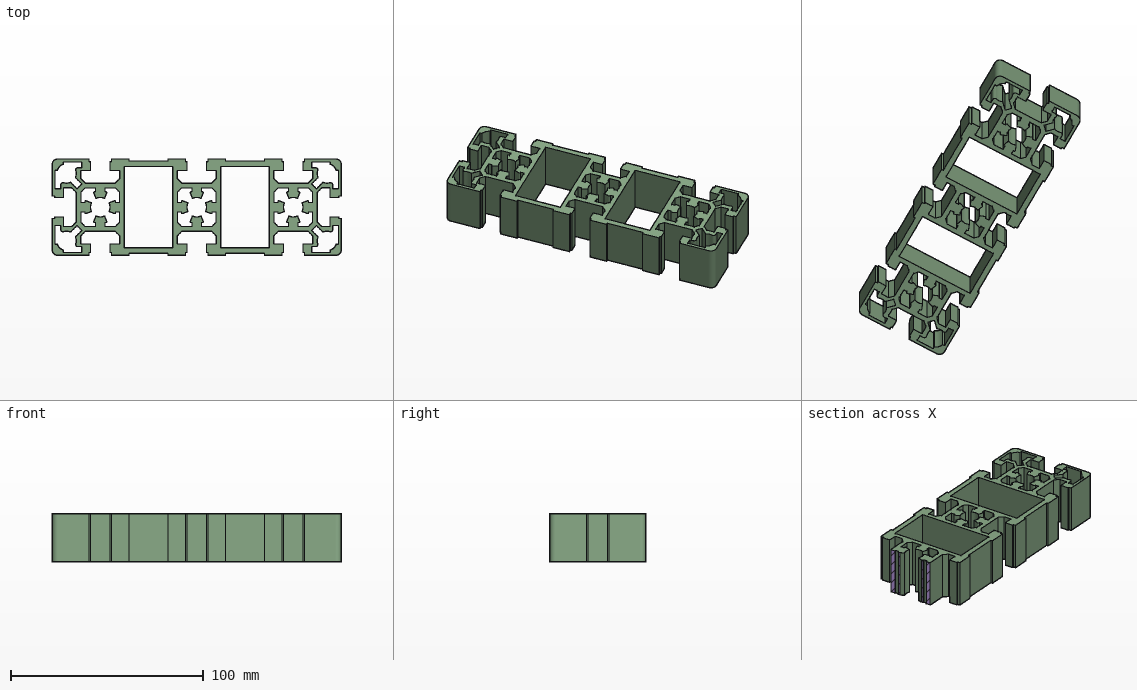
import cadquery as cq
import math

LENGTH_X = 150.0
WIDTH_Y = 50.0
HEIGHT_Z = 25.0

PITCH = 50.0
HALF = WIDTH_Y / 2
CORE_CENTRES = (-PITCH, 0.0, PITCH)
CHAMBER_CENTRES = (-PITCH / 2, PITCH / 2)
OUTER_RADIUS = 3.0

SLOT_MOUTH = 10.0
SLOT_LIP = 6.0
SLOT_INNER = 20.0
SLOT_DEPTH = 12.5
SLOT_CHAMFER = 2.3
MOUTH_STEP_WIDTH = 11.5
MOUTH_STEP_DEPTH = 1.4

CORE_SIZE = 19.8
CORE_CHAMFER = 2.0
BORE_RADIUS = 5.0
TAB_NECK = 5.0
TAB_HEAD = 7.2
TAB_HEAD_START = 8.0
TAB_TIP = 4.2
TAB_TIP_REACH = 4.0
TAB_HEAD_RADIUS = 0.5

CHAMBER_X = 25.0
CHAMBER_Y = 42.0
RECESS_WIDTH = 20.0
RECESS_DEPTH = 1.0

HOLLOW_RADIUS = 5.0
HOLLOW_CENTRE = 7.5
POCKET_OUTER = 1.6
POCKET_INNER = 4.5
POCKET_START = 5.9
POCKET_END = 15.4
TONGUE_RADIUS = 1.2
CHANNEL_WIDTH = 3.5
CHANNEL_REACH = 14.2


def block(x0, x1, y0, y1):
    """Full-height block between two X and two Y limits."""
    return cq.Workplane("XY").box(x1 - x0, y1 - y0, HEIGHT_Z, centered=False).translate((x0, y0, 0))


def prism(points):
    """Full-height prism on a closed polygon."""
    return cq.Workplane("XY").polyline(points).close().extrude(HEIGHT_Z)


def turned(shape, angle):
    """Shape rotated about the Z axis."""
    return shape.rotate((0, 0, 0), (0, 0, 1), angle)


def mirrored_outline(right_side):
    """Closed polygon from its right half, reflected about the Y axis."""
    return right_side + [(-x, y) for x, y in reversed(right_side)]


def upright_edge_at(x, y):
    """Selector for the vertical edge through a point."""
    return cq.selectors.NearestToPointSelector((x, y, HEIGHT_Z / 2))


def make_slot():
    """Stepped T-slot opening towards +Y, centred on a cell."""
    bottom = HALF - SLOT_DEPTH
    return prism(mirrored_outline([
        (MOUTH_STEP_WIDTH / 2, HALF),
        (MOUTH_STEP_WIDTH / 2, HALF - MOUTH_STEP_DEPTH),
        (SLOT_MOUTH / 2, HALF - MOUTH_STEP_DEPTH),
        (SLOT_MOUTH / 2, HALF - SLOT_LIP),
        (SLOT_INNER / 2, HALF - SLOT_LIP),
        (SLOT_INNER / 2, bottom + SLOT_CHAMFER),
        (SLOT_INNER / 2 - SLOT_CHAMFER, bottom),
    ]))


def make_core():
    """Chamfered square cavity, less four flared tabs trimmed by the bore."""
    cavity = cq.Workplane("XY").rect(CORE_SIZE, CORE_SIZE).extrude(HEIGHT_Z)
    cavity = cavity.edges("|Z").chamfer(CORE_CHAMFER)
    tab = prism(mirrored_outline([
        (TAB_NECK / 2, CORE_SIZE / 2),
        (TAB_NECK / 2, TAB_HEAD_START),
        (TAB_HEAD / 2, TAB_HEAD_START),
        (TAB_TIP / 2, TAB_TIP_REACH),
    ]))
    for x in (-TAB_HEAD / 2, TAB_HEAD / 2):
        tab = tab.edges(upright_edge_at(x, TAB_HEAD_START)).fillet(TAB_HEAD_RADIUS)
    for quarter in range(4):
        cavity = cavity.cut(turned(tab, 90 * quarter))
    bore = cq.Workplane("XY").circle(BORE_RADIUS).extrude(HEIGHT_Z)
    return cavity.union(bore)


def make_corner_hollow():
    """Hollow of one outer corner, with that corner at the origin and the part in +X +Y."""
    hollow = cq.Workplane("XY").circle(HOLLOW_RADIUS).extrude(HEIGHT_Z)
    hollow = hollow.translate((HOLLOW_CENTRE, HOLLOW_CENTRE, 0))
    hollow = hollow.union(block(POCKET_START, POCKET_END, POCKET_OUTER, POCKET_INNER))
    hollow = hollow.union(block(POCKET_OUTER, POCKET_INNER, POCKET_START, POCKET_END))

    tongue = HOLLOW_CENTRE + math.sqrt(HOLLOW_RADIUS**2 - (HOLLOW_CENTRE - POCKET_INNER)**2)
    for x, y in ((tongue, POCKET_INNER), (POCKET_INNER, tongue)):
        hollow = hollow.edges(upright_edge_at(x, y)).fillet(TONGUE_RADIUS)

    channel_start = HOLLOW_CENTRE * math.sqrt(2)
    channel_end = CHANNEL_REACH * math.sqrt(2)
    channel = block(channel_start, channel_end, -CHANNEL_WIDTH / 2, CHANNEL_WIDTH / 2)
    return hollow.union(turned(channel, 45))


def make_profile():
    """Complete extrusion, centred in X and Y and standing on Z = 0."""
    body = cq.Workplane("XY").rect(LENGTH_X, WIDTH_Y).extrude(HEIGHT_Z)
    body = body.edges("|Z").fillet(OUTER_RADIUS)

    slot = make_slot()
    core = make_core()
    for x in CORE_CENTRES:
        body = body.cut(core.translate((x, 0, 0)))
        for angle in (0, 180):
            body = body.cut(turned(slot, angle).translate((x, 0, 0)))
    body = body.cut(turned(slot, 90).translate((-PITCH, 0, 0)))
    body = body.cut(turned(slot, -90).translate((PITCH, 0, 0)))

    chamber = cq.Workplane("XY").rect(CHAMBER_X, CHAMBER_Y).extrude(HEIGHT_Z)
    recess = block(-RECESS_WIDTH / 2, RECESS_WIDTH / 2, HALF - RECESS_DEPTH, HALF)
    for x in CHAMBER_CENTRES:
        body = body.cut(chamber.translate((x, 0, 0)))
        for angle in (0, 180):
            body = body.cut(turned(recess, angle).translate((x, 0, 0)))

    hollow = make_corner_hollow().translate((-LENGTH_X / 2, -HALF, 0))
    for half_turn in (0, 180):
        corner_hollow = turned(hollow, half_turn)
        body = body.cut(corner_hollow)
        body = body.cut(corner_hollow.mirror("XZ"))
    return body


result = make_profile()